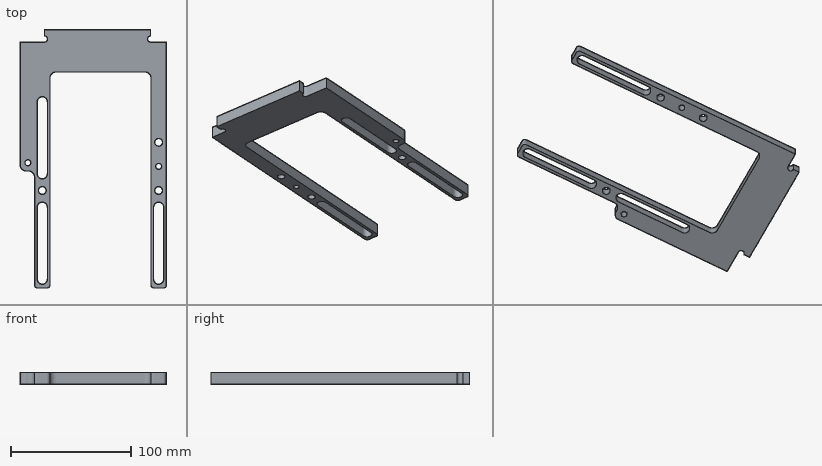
import cadquery as cq

length_x = 121.5
length_y = 214.6
thickness = 10.0

arm_width = 12.9
left_arm_outer = 12.0
left_arm_inner = left_arm_outer + arm_width
right_arm_inner = length_x - arm_width
window_depth = 35.25
window_top = length_y - window_depth
wing_length = 117.5
wing_bottom = length_y - wing_length

tab_left = 20.2
tab_right_inset = 13.1
tab_right = length_x - tab_right_inset
tab_depth = 10.4
shoulder_y = length_y - tab_depth
relief_radius = 2.5

corner_radius = 5.0
arm_tip_radius = 2.5

left_arm_center = left_arm_outer + arm_width / 2
right_arm_center = right_arm_inner + arm_width / 2
slot_width = 8.25
slot_length = 68.0
lower_slot_y = 37.25
upper_slot_y = 124.75
bolt_diameter = 6.25
pin_diameter = 4.75
bolt_y = 81.0
bolt_spacing = 40.0
wing_pin_x = 6.5
wing_pin_y = 104.0


def build_plate():
    """Fork-shaped plate with a wing on the left arm and a tab at the rear."""
    outline = (
        cq.Workplane("XY")
        .moveTo(left_arm_outer, 0)
        .lineTo(left_arm_inner, 0)
        .lineTo(left_arm_inner, window_top)
        .lineTo(right_arm_inner, window_top)
        .lineTo(right_arm_inner, 0)
        .lineTo(length_x, 0)
        .lineTo(length_x, shoulder_y)
        .lineTo(tab_right, shoulder_y)
        .lineTo(tab_right, length_y)
        .lineTo(tab_left, length_y)
        .lineTo(tab_left, shoulder_y)
        .lineTo(0, shoulder_y)
        .lineTo(0, wing_bottom)
        .lineTo(left_arm_outer, wing_bottom)
        .close()
    )
    return outline.extrude(thickness)


def round_corners(plate, points, radius):
    """Fillet the vertical edges that stand on the given XY points."""
    for x, y in points:
        edge = cq.selectors.NearestToPointSelector((x, y, thickness / 2))
        plate = plate.edges("|Z").edges(edge).fillet(radius)
    return plate


def cylinders(points, diameter):
    """Through-cutters of one diameter."""
    return cq.Workplane("XY").pushPoints(points).circle(diameter / 2).extrude(thickness)


def slots(points):
    """Through-cutters for the long slots, running along Y."""
    return cq.Workplane("XY").pushPoints(points).slot2D(slot_length, slot_width, 90).extrude(thickness)


window_and_wing_corners = [
    (left_arm_inner, window_top),
    (right_arm_inner, window_top),
    (0, wing_bottom),
    (left_arm_outer, wing_bottom),
]
arm_tip_corners = [(x, 0) for x in (left_arm_outer, left_arm_inner, right_arm_inner, length_x)]
relief_centers = [(x, shoulder_y + relief_radius) for x in (tab_left, tab_right)]
slot_centers = [
    (left_arm_center, lower_slot_y),
    (left_arm_center, upper_slot_y),
    (right_arm_center, lower_slot_y),
]
bolt_centers = [
    (left_arm_center, bolt_y),
    (right_arm_center, bolt_y),
    (right_arm_center, bolt_y + bolt_spacing),
]
pin_centers = [
    (wing_pin_x, wing_pin_y),
    (right_arm_center, bolt_y + bolt_spacing / 2),
]

result = build_plate()
result = round_corners(result, window_and_wing_corners, corner_radius)
result = round_corners(result, arm_tip_corners, arm_tip_radius)
result = result.cut(cylinders(relief_centers, 2 * relief_radius))
result = result.cut(slots(slot_centers))
result = result.cut(cylinders(bolt_centers, bolt_diameter))
result = result.cut(cylinders(pin_centers, pin_diameter))